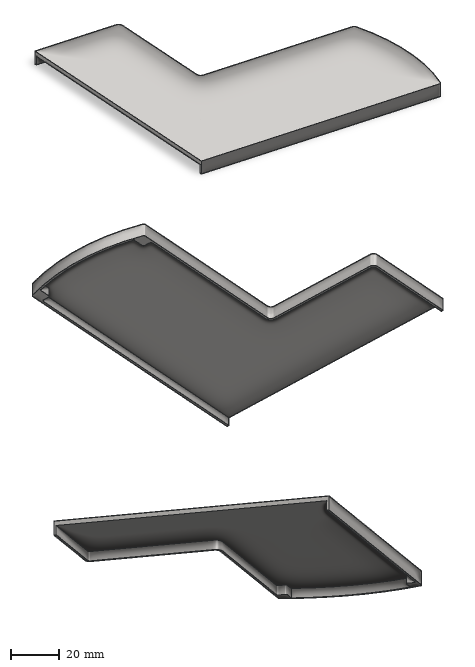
import cadquery as cq
import math

width = 120.0
length = 126.0
height = 6.0

arm_width = 62.5
foot_length = 42.8
bow_rise = 5.0
corner_radius = 2.0
arm_corner_radius = 1.0

wall = 1.0
plate_thickness = 2.0
cavity_depth = height - plate_thickness
inner_radius = corner_radius - wall

post_size = 5.3
post_radius = 0.8

arm_left = width - arm_width
arm_center = width - arm_width / 2
shoulder = length - bow_rise
bow_radius = ((arm_width / 2) ** 2 + bow_rise ** 2) / (2 * bow_rise)
bow_center = length - bow_radius


def outline_solid(inset, depth):
    """Extrude the L outline, inset from every side except the open front at Y = 0."""
    left = inset
    right = width - inset
    inner_left = arm_left + inset
    foot_top = foot_length - inset
    radius = bow_radius - inset
    arm_end = bow_center + math.sqrt(radius ** 2 - (right - arm_center) ** 2)
    return (
        cq.Workplane("XY")
        .moveTo(left, 0)
        .lineTo(right, 0)
        .lineTo(right, arm_end)
        .threePointArc((arm_center, length - inset), (inner_left, arm_end))
        .lineTo(inner_left, foot_top)
        .lineTo(left, foot_top)
        .close()
        .extrude(depth)
    )


def round_upright_edge(body, x, y, radius):
    """Fillet the vertical edge nearest to (x, y)."""
    edge = cq.selectors.NearestToPointSelector((x, y, body.val().BoundingBox().zmax / 2))
    return body.edges("|Z").edges(edge).fillet(radius)


def make_body():
    body = outline_solid(0, height)
    body = round_upright_edge(body, 0, foot_length, corner_radius)
    body = round_upright_edge(body, arm_left, foot_length, corner_radius)
    for x in (arm_left, width):
        body = round_upright_edge(body, x, shoulder, arm_corner_radius)
    return body


def make_cavity():
    """Underside pocket, open at the front, leaving a square post in each arm corner."""
    cavity = outline_solid(wall, cavity_depth)
    post_front = shoulder - post_size
    for outer_x, inward in ((arm_left, 1), (width, -1)):
        post = (
            cq.Workplane("XY")
            .center(outer_x + inward * post_size / 2, post_front + post_size)
            .rect(post_size, 2 * post_size)
            .extrude(cavity_depth)
        )
        cavity = cavity.cut(post)
        cavity = round_upright_edge(cavity, outer_x + inward * wall, post_front, inner_radius)
        cavity = round_upright_edge(cavity, outer_x + inward * post_size, post_front, post_radius)
    cavity = round_upright_edge(cavity, wall, foot_length - wall, inner_radius)
    return round_upright_edge(cavity, arm_left + wall, foot_length - wall, corner_radius + wall)


result = make_body().cut(make_cavity())